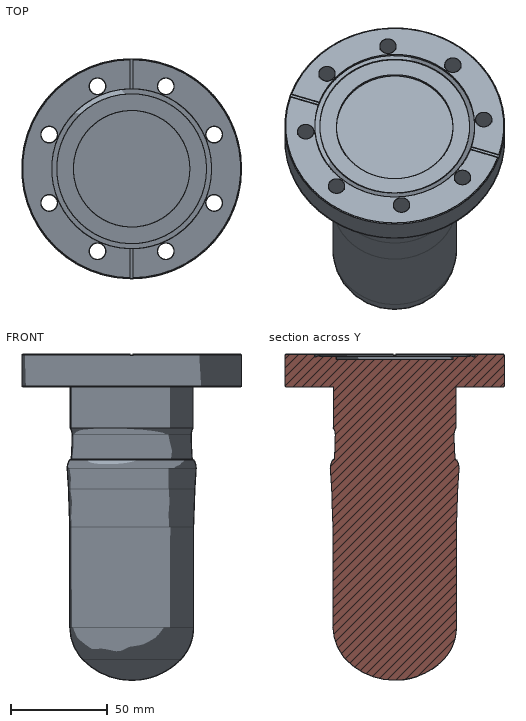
import cadquery as cq
import math

length = 168.4

flange_dia = 113.5
flange_thickness = 17.0
edge_chamfer = 0.5
bolt_count = 8
bolt_circle_dia = 92.1
bolt_hole_dia = 8.5
groove_width = 1.5
groove_depth = 0.5

recess_dia = 82.5
recess_depth = 1.5
knife_dia = 77.3
knife_depth = 0.5
inner_face_depth = 1.2
bore_dia = 60.1
bore_depth = 2.7

neck_dia = 63.5
neck_end = 38.2
waist_top_radius = 30.8
waist_top = 41.5
waist_bottom_radius = 31.3
waist_bottom = 54.2
shoulder_inner_radius = 32.2
shoulder_top = 54.7
shoulder_radius = 33.3
shoulder_bottom = 59.0
taper_middle_radius = 32.7
taper_middle = 69.5
body_dia = 64.0
taper_end = 89.3

knuckle_radius = 23.7
crown_radius = 35.2


def arc_middle_to_vertical(start, end):
    """Middle point of an arc between start and end that runs parallel to the axis at end."""
    inset = start[0] - end[0]
    rise = start[1] - end[1]
    radius = (inset**2 + rise**2) / (2 * abs(inset))
    side = math.copysign(1, inset)
    half_angle = math.asin(rise / radius) / 2
    return (
        end[0] + side * radius * (1 - math.cos(half_angle)),
        end[1] + radius * math.sin(half_angle),
    )


def make_tube():
    """Solid of revolution: neck, waist, shoulder, taper, body and dished end."""
    body_radius = body_dia / 2
    knuckle_axis = body_radius - knuckle_radius
    centre_gap = crown_radius - knuckle_radius
    crown_angle = math.asin(knuckle_axis / centre_gap)
    crown_centre = crown_radius - length
    knuckle_centre = crown_centre - centre_gap * math.cos(crown_angle)
    knuckle_angle = (math.pi / 2 - crown_angle) / 2

    knuckle_middle = (
        knuckle_axis + knuckle_radius * math.cos(knuckle_angle),
        knuckle_centre - knuckle_radius * math.sin(knuckle_angle),
    )
    crown_edge = (
        crown_radius * math.sin(crown_angle),
        crown_centre - crown_radius * math.cos(crown_angle),
    )
    crown_middle = (
        crown_radius * math.sin(crown_angle / 2),
        crown_centre - crown_radius * math.cos(crown_angle / 2),
    )
    neck_edge = (neck_dia / 2, -neck_end)
    waist_start = (waist_top_radius, -waist_top)
    waist_end = (waist_bottom_radius, -waist_bottom)
    shoulder_start = (shoulder_inner_radius, -shoulder_top)
    shoulder_end = (shoulder_radius, -shoulder_bottom)

    profile = (
        cq.Workplane("XZ")
        .moveTo(0, -flange_thickness)
        .lineTo(neck_dia / 2, -flange_thickness)
        .lineTo(*neck_edge)
        .threePointArc(arc_middle_to_vertical(neck_edge, waist_start), waist_start)
        .threePointArc(arc_middle_to_vertical(waist_end, waist_start), waist_end)
        .lineTo(*shoulder_start)
        .threePointArc(arc_middle_to_vertical(shoulder_start, shoulder_end), shoulder_end)
        .lineTo(taper_middle_radius, -taper_middle)
        .lineTo(body_radius, -taper_end)
        .lineTo(body_radius, knuckle_centre)
        .threePointArc(knuckle_middle, crown_edge)
        .threePointArc(crown_middle, (0, -length))
        .close()
    )
    return profile.revolve(360, (0, 0, 0), (0, 1, 0))


def make_flange():
    """Disc with chamfered rims, bolt holes and two leak-check grooves across its face."""
    disc = (
        cq.Workplane("XY")
        .circle(flange_dia / 2)
        .extrude(-flange_thickness)
        .edges()
        .chamfer(edge_chamfer)
    )
    bolt_holes = (
        cq.Workplane("XY")
        .polarArray(bolt_circle_dia / 2, 180 / bolt_count, 360, bolt_count)
        .circle(bolt_hole_dia / 2)
        .extrude(-flange_thickness)
    )
    grooves = cq.Workplane("XY").rect(groove_width, flange_dia).extrude(-groove_depth)
    return disc.cut(bolt_holes).cut(grooves)


def make_seal_recess():
    """Material removed from the flange face, leaving the ring-shaped knife edge."""
    profile = (
        cq.Workplane("XZ")
        .lineTo(recess_dia / 2, 0)
        .lineTo(recess_dia / 2, -recess_depth)
        .lineTo(knife_dia / 2, -knife_depth)
        .lineTo(knife_dia / 2, -inner_face_depth)
        .lineTo(bore_dia / 2, -inner_face_depth)
        .lineTo(bore_dia / 2, -bore_depth)
        .lineTo(0, -bore_depth)
        .close()
    )
    return profile.revolve(360, (0, 0, 0), (0, 1, 0))


result = make_flange().cut(make_seal_recess()).union(make_tube())